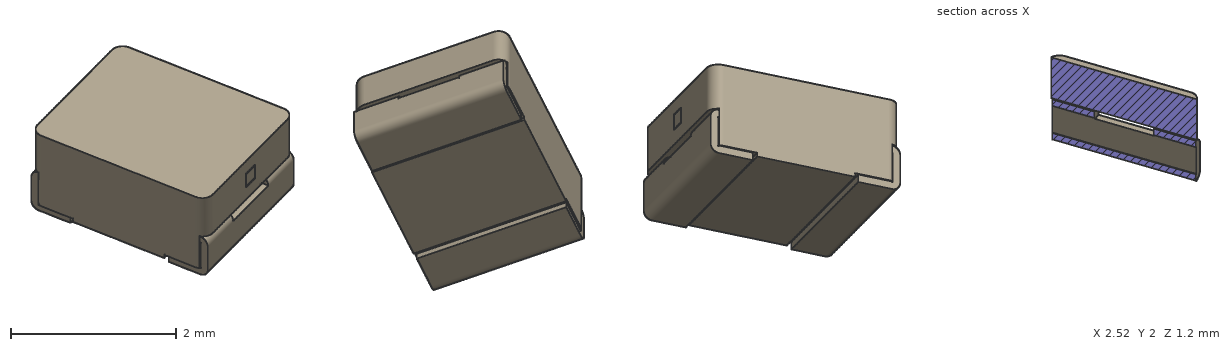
import cadquery as cq

overall_length = 2.52
body_width = 2.0
overall_height = 1.2
clearance = 0.01
sheet_thickness = 0.1

body_length = 2.505
corner_radius = 0.15
recess_top = 0.6
neck_length = overall_length - 2 * (sheet_thickness + clearance)
foot_length = 1.3
foot_bottom = 0.05

terminal_width = 1.96
terminal_top = recess_top - clearance
bend_radius = sheet_thickness + clearance
pad_inner_x = 0.7
notch_width = 0.8

marker_size = 0.202
marker_center_z = 0.902


def make_block(length, bottom, top):
    """Full-width block centred on the Z axis, between two heights."""
    return (
        cq.Workplane("XY")
        .workplane(offset=bottom)
        .rect(length, body_width)
        .extrude(top - bottom)
    )


def make_body():
    """Rounded body, narrowed below the terminal tops, with a central foot."""
    body = make_block(body_length, sheet_thickness, overall_height)
    body = body.edges("|Z").fillet(corner_radius)
    neck_space = make_block(overall_length, sheet_thickness, recess_top)
    neck_space = neck_space.cut(make_block(neck_length, sheet_thickness, recess_top))
    foot = make_block(foot_length, foot_bottom, sheet_thickness)
    return body.cut(neck_space).union(foot)


def make_terminal():
    """C-shaped terminal on the +X side: pad, upright and lip from one sheet."""
    outer_x = overall_length / 2
    upright_inner_x = outer_x - sheet_thickness
    neck_x = neck_length / 2
    terminal = (
        cq.Workplane("XZ")
        .moveTo(pad_inner_x, 0)
        .lineTo(neck_x, 0)
        .radiusArc((outer_x, bend_radius), -bend_radius)
        .lineTo(outer_x, terminal_top - bend_radius)
        .radiusArc((neck_x, terminal_top), -bend_radius)
        .lineTo(neck_x, terminal_top - sheet_thickness)
        .lineTo(upright_inner_x, terminal_top - sheet_thickness)
        .lineTo(upright_inner_x, sheet_thickness)
        .lineTo(pad_inner_x, sheet_thickness)
        .close()
        .extrude(terminal_width / 2, both=True)
    )
    notch = cq.Workplane("XY").box(
        bend_radius, notch_width, bend_radius, centered=(False, True, False)
    )
    return terminal.cut(notch.translate((neck_x, 0, terminal_top - bend_radius)))


def make_marker():
    """Slightly raised square mark on the +X face of the body."""
    return (
        cq.Workplane("YZ")
        .workplane(offset=body_length / 2)
        .center(0, marker_center_z)
        .rect(marker_size, marker_size)
        .extrude((overall_length - body_length) / 2)
    )


right_terminal = make_terminal()
left_terminal = right_terminal.mirror("YZ")
result = make_body().union(right_terminal).union(left_terminal).union(make_marker())